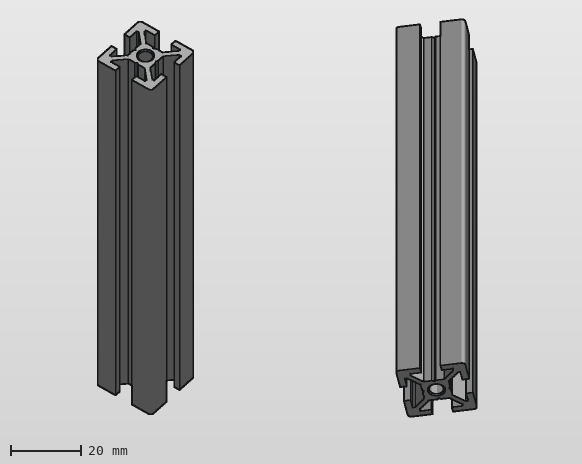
import cadquery as cq

LENGTH = 132.0
WIDTH = 20.0
CORNER_RADIUS = 1.0
SLOT_OPENING = 6.0
LIP_THICKNESS = 2.0
CAVITY_WIDTH = 12.4
CORE_WIDTH = 8.2
WEB_THICKNESS = 1.6
GROOVE_WIDTH = 1.2
GROOVE_DEPTH = 0.4
BORE_DIAMETER = 4.2
BORE_MOUTH_DIAMETER = 5.0

outer_face = WIDTH / 2
lip_inner_face = outer_face - LIP_THICKNESS
core_face = CORE_WIDTH / 2
half_opening = SLOT_OPENING / 2
half_cavity = CAVITY_WIDTH / 2
half_groove = GROOVE_WIDTH / 2
web_offset = WEB_THICKNESS / 2 * 2**0.5
mouth_depth = (BORE_MOUTH_DIAMETER - BORE_DIAMETER) / 2


def t_slot():
    """Cutter for one T-slot, including the V-groove in its floor."""
    right_side = [
        (half_groove, core_face),
        (core_face - web_offset, core_face),
        (half_cavity, half_cavity + web_offset),
        (half_cavity, lip_inner_face),
        (half_opening, lip_inner_face),
        (half_opening, outer_face),
    ]
    left_side = [(-x, y) for x, y in reversed(right_side)]
    groove_bottom = (0, core_face - GROOVE_DEPTH)
    outline = [groove_bottom] + right_side + left_side
    return cq.Workplane("XY").polyline(outline).close().extrude(LENGTH)


bar = cq.Workplane("XY").rect(WIDTH, WIDTH).extrude(LENGTH)
bar = bar.faces(">Z").workplane().hole(BORE_DIAMETER)
bar = bar.faces("<Z or >Z").edges("%CIRCLE").chamfer(mouth_depth)

bar = bar.edges("|Z and (<X or >X)").fillet(CORNER_RADIUS)

slot = t_slot()
for angle in (0, 90, 180, 270):
    bar = bar.cut(slot.rotate((0, 0, 0), (0, 0, 1), angle))

result = bar